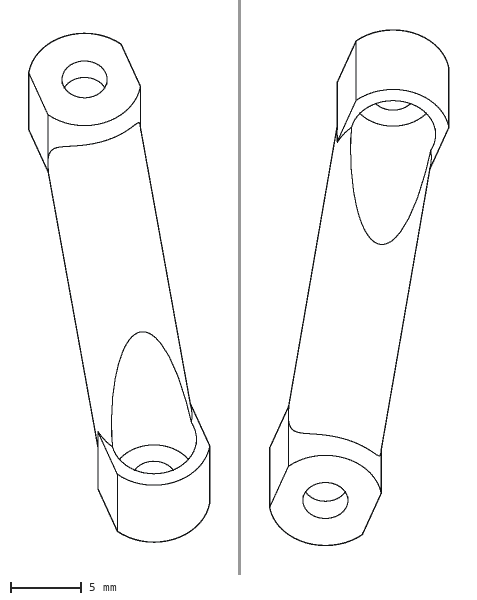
import cadquery as cq
import math

total_height = 32.5
total_length = 21.97
thickness = 7.0
boss_diameter = 8.0
boss_height = 7.0
bore_diameter = 3.2
head_diameter = 6.0
floor_thickness = 2.0

boss_x = (total_length - boss_diameter) / 2
boss_inner_z = total_height / 2 - boss_height
floor_z = total_height / 2 - floor_thickness


def cylinder(diameter, x, bottom, top):
    """Vertical cylinder between two heights."""
    return (
        cq.Workplane("XY", origin=(x, 0, bottom))
        .circle(diameter / 2)
        .extrude(top - bottom)
    )


def make_boss(bottom):
    """Round boss with two parallel flats, centred on X = 0."""
    flats = cq.Workplane("XY", origin=(0, 0, bottom + boss_height / 2)).box(
        boss_diameter, thickness, boss_height
    )
    return cylinder(boss_diameter, 0, bottom, bottom + boss_height).intersect(flats)


def make_arm():
    """Slanted round bar, trimmed at the two boss axes."""
    run = 2 * boss_x
    drop = 2 * floor_z
    axis = cq.Vector(run, 0, -drop)
    bar_length = 2 * math.hypot(run, drop)
    bar = cq.Workplane(
        cq.Solid.makeCylinder(
            thickness / 2, bar_length, axis.normalized() * (-bar_length / 2), axis
        )
    )
    span = cq.Workplane("XY").box(run, thickness, total_height)
    return bar.intersect(span)


upper_boss = make_boss(boss_inner_z).translate((-boss_x, 0, 0))
lower_boss = make_boss(-total_height / 2).translate((boss_x, 0, 0))
body = make_arm().union(upper_boss).union(lower_boss)

half_height = total_height / 2
for side in (-1, 1):
    body = body.cut(cylinder(bore_diameter, side * boss_x, -half_height, half_height))
body = body.cut(cylinder(head_diameter, -boss_x, -half_height, floor_z))
body = body.cut(cylinder(head_diameter, boss_x, -floor_z, half_height))

result = body